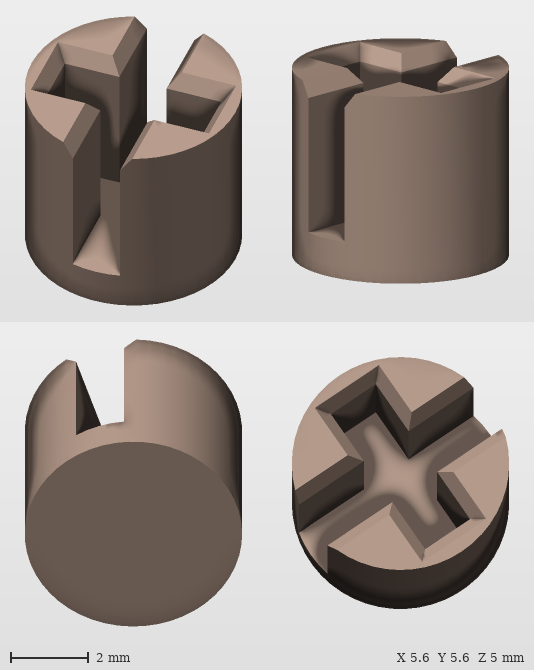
import cadquery as cq

body_diameter = 5.6
body_height = 5.0
floor_thickness = 1.0

open_arm_width = 1.3
open_arm_length = 2 * body_diameter
closed_arm_length = 4.3
closed_arm_width = 1.4

bevel_width = 0.3
bevel_depth = 0.4


def make_body():
    return cq.Workplane("XY").circle(body_diameter / 2).extrude(body_height)


def make_arm(size_x, size_y):
    """Straight rectangular pocket that flares outward at the top face."""
    pocket = (
        cq.Workplane("XY")
        .workplane(offset=floor_thickness)
        .rect(size_x, size_y)
        .extrude(body_height - floor_thickness)
    )
    lead_in = (
        cq.Workplane("XY")
        .workplane(offset=body_height - bevel_depth)
        .rect(size_x, size_y)
        .workplane(offset=bevel_depth)
        .rect(size_x + 2 * bevel_width, size_y + 2 * bevel_width)
        .loft(ruled=True)
    )
    return pocket.union(lead_in)


open_arm = make_arm(open_arm_width, open_arm_length)
closed_arm = make_arm(closed_arm_length, closed_arm_width)

result = make_body().cut(open_arm).cut(closed_arm)